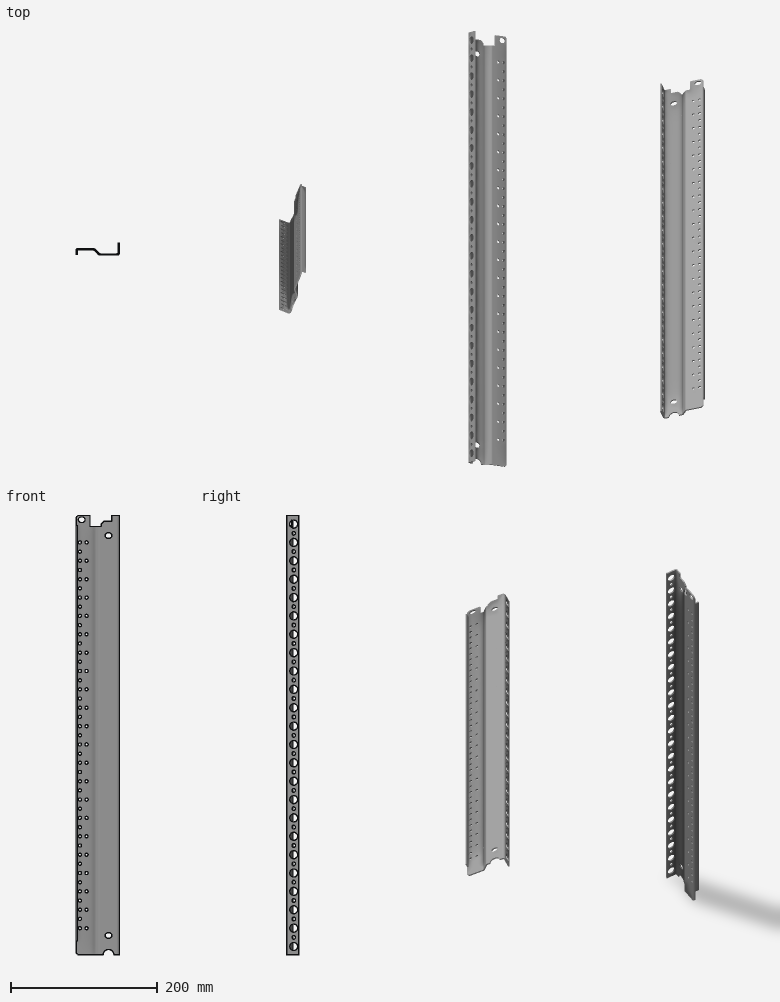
import cadquery as cq
import math

length = 598.5
width = 59.0
depth = 17.0
sheet = 2.0

shelf_face = 9.0
joggle_start = 24.5
lip_tip = 1.0
flange_bend_radius = 3.5
lip_bend_radius = 2.5
joggle_inner_radius = 1.0
joggle_outer_radius = joggle_inner_radius + sheet
lip_bottom = 19.0
lip_top = length - 14.0

tab_width = 19.0
tab_chamfer = 3.0
notch_depth = 15.0
notch_end = 34.0
step_depth = 8.0
step_chamfer = 4.0
step_end = 48.5
scallop_radius = 7.0

grid_span = 575.0
grid_pitches = 23
pitch = grid_span / grid_pitches
grid_start = 11.5
flange_hole_height = 9.5
flange_hole = 11.0
flange_small_hole = 5.0
shelf_hole = 4.0
outer_row_x = 5.5
inner_row_x = 14.5

slot_length = 9.0
slot_height = 7.0
tab_slot_x = 8.0
tab_slot_z = length - 6.0
web_slot_x = 44.0
web_slot_bottom_z = 26.5
web_slot_top_z = length - 27.5


def folded_sheet():
    """Lip, raised shelf, joggle, lower web and flange as one extruded section."""
    shelf_front = shelf_face - sheet
    joggle_end = joggle_start + shelf_front
    miter = sheet * math.tan(math.radians(45 / 2))
    outline = [
        (0, lip_tip),
        (sheet, lip_tip),
        (sheet, shelf_front),
        (joggle_start, shelf_front),
        (joggle_end, 0),
        (width, 0),
        (width, depth),
        (width - sheet, depth),
        (width - sheet, sheet),
        (joggle_end + miter, sheet),
        (joggle_start + miter, shelf_face),
        (0, shelf_face),
    ]
    body = cq.Workplane("XY").polyline(outline).close().extrude(length)
    bends = [
        (width, 0, flange_bend_radius),
        (width - sheet, sheet, flange_bend_radius - sheet),
        (0, shelf_face, lip_bend_radius),
        (joggle_start, shelf_front, joggle_inner_radius),
        (joggle_start + miter, shelf_face, joggle_outer_radius),
        (joggle_end, 0, joggle_outer_radius),
        (joggle_end + miter, sheet, joggle_inner_radius),
    ]
    for x, y, radius in bends:
        corner = cq.selectors.NearestToPointSelector((x, y, length / 2))
        body = body.edges(corner).fillet(radius)
    return body


def through_cutter(sketch):
    """Turn a closed XZ outline into a cutter passing through the full depth."""
    return sketch.extrude(-depth)


def xz_outline(points):
    return cq.Workplane("XZ").polyline(points).close()


def lip_end(z_from, z_to):
    """Cutter removing the lip, but not the shelf, over one stretch of the rail."""
    size = (sheet, shelf_face - sheet, z_to - z_from)
    return cq.Workplane("XY").box(*size, centered=False).translate((0, 0, z_from))


def top_notch():
    return through_cutter(xz_outline([
        (tab_width, length),
        (tab_width, length - notch_depth),
        (notch_end, length - notch_depth),
        (notch_end, length - step_depth - step_chamfer),
        (notch_end + step_chamfer, length - step_depth),
        (step_end, length - step_depth),
        (step_end, length),
    ]))


def tab_corner(z_end, toward_middle):
    """Chamfer cutter at a rail end; toward_middle is +1 at the bottom, -1 at the top."""
    return through_cutter(xz_outline([
        (0, z_end),
        (tab_chamfer, z_end),
        (0, z_end + toward_middle * tab_chamfer),
    ]))


def holes_along_y(centres, diameter):
    return through_cutter(cq.Workplane("XZ").pushPoints(centres).circle(diameter / 2))


def holes_in_flange(heights, diameter):
    centres = [(flange_hole_height, z) for z in heights]
    holes = cq.Workplane("YZ", origin=(width - sheet, 0, 0)).pushPoints(centres)
    return holes.circle(diameter / 2).extrude(sheet)


def oval_holes(centres):
    return through_cutter(cq.Workplane("XZ").pushPoints(centres).slot2D(slot_length, slot_height))


full_grid = [grid_start + i * pitch for i in range(grid_pitches + 1)]
half_grid = [z + pitch / 2 for z in full_grid[:-1]]
inner_row = full_grid[1:-1]
outer_row = inner_row + half_grid[1:-1]

result = folded_sheet()
result = result.cut(lip_end(0, lip_bottom)).cut(lip_end(lip_top, length))
result = result.cut(top_notch())
result = result.cut(tab_corner(0, 1)).cut(tab_corner(length, -1))
result = result.cut(holes_along_y([(web_slot_x, 0)], 2 * scallop_radius))
result = result.cut(holes_along_y([(outer_row_x, z) for z in outer_row], shelf_hole))
result = result.cut(holes_along_y([(inner_row_x, z) for z in inner_row], shelf_hole))
result = result.cut(holes_in_flange(full_grid, flange_hole))
result = result.cut(holes_in_flange(half_grid, flange_small_hole))
result = result.cut(oval_holes([
    (tab_slot_x, tab_slot_z),
    (web_slot_x, web_slot_bottom_z),
    (web_slot_x, web_slot_top_z),
]))